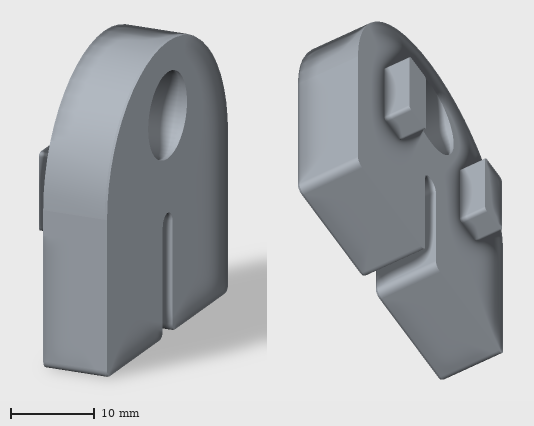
import cadquery as cq

plate_width = 34.5
plate_height = 37.5
plate_thickness = 8.4
corner_radius = 1.0
back_chamfer_depth = 0.25
back_chamfer_inset = 0.1

hole_diameter = 11.0
hole_height = 28.0

slot_width = 2.5
slot_height = 15.5

peg_length = 3.5
peg_width = 3.98
peg_height = 10.0
peg_bottom = 15.0
peg_spacing = 18.0
peg_corner_radius = 0.5

half_width = plate_width / 2
half_slot = slot_width / 2
arch_start = plate_height - half_width
slot_arc_start = slot_height - half_slot


def make_plate():
    """Slotted arch with rounded bottom corners and a chamfered back rim."""
    plate = (
        cq.Workplane("YZ")
        .moveTo(half_slot, 0)
        .lineTo(half_width, 0)
        .lineTo(half_width, arch_start)
        .threePointArc((0, plate_height), (-half_width, arch_start))
        .lineTo(-half_width, 0)
        .lineTo(-half_slot, 0)
        .lineTo(-half_slot, slot_arc_start)
        .threePointArc((0, slot_height), (half_slot, slot_arc_start))
        .close()
        .extrude(plate_thickness)
    )
    bottom_corners = plate.faces("<Z").edges("|X")
    plate = bottom_corners.fillet(corner_radius)
    return plate.faces(">X").chamfer(back_chamfer_depth, back_chamfer_inset)


def make_hole():
    """Cylinder that cuts the round hole through the plate."""
    return (
        cq.Workplane("YZ")
        .center(0, hole_height)
        .circle(hole_diameter / 2)
        .extrude(plate_thickness)
    )


def make_pegs():
    """Two rectangular pegs with rounded long edges, standing out towards -X."""
    peg_centre = peg_bottom + peg_height / 2
    return (
        cq.Workplane("YZ")
        .pushPoints([(side * peg_spacing / 2, peg_centre) for side in (-1, 1)])
        .rect(peg_width, peg_height)
        .extrude(-peg_length)
        .edges("|X")
        .fillet(peg_corner_radius)
    )


result = make_plate().cut(make_hole()).union(make_pegs())